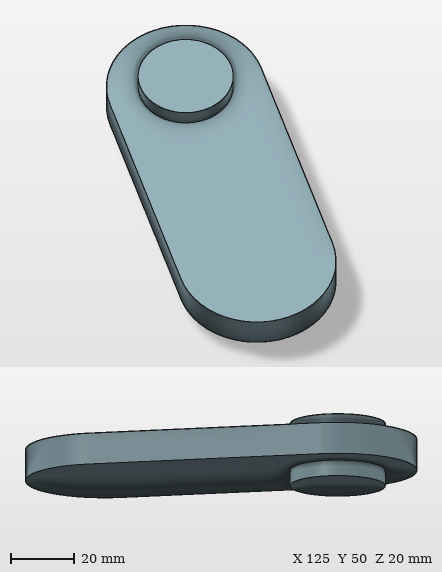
import cadquery as cq

length = 125.0
width = 50.0
plate_thickness = 10.0
boss_diameter = 30.0
boss_projection = 5.0

boss_x = -(length - width) / 2
boss_height = plate_thickness + 2 * boss_projection

plate = cq.Workplane("XY").slot2D(length, width).extrude(plate_thickness / 2, both=True)

bosses = (
    cq.Workplane("XY")
    .center(boss_x, 0)
    .circle(boss_diameter / 2)
    .extrude(boss_height / 2, both=True)
)

result = plate.union(bosses)